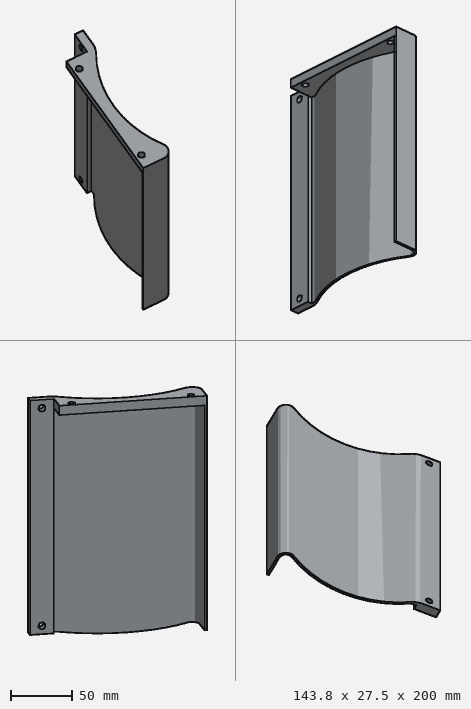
import cadquery as cq
import math

width = 143.8
depth = 27.5
height = 200.0

flange_width = 20.0
flange_thickness = 8.0
plate_thickness = 8.0
skin = 2.0
ledge_skin = 3.8

trough_radius = 102.0
trough_center_x = 77.5
trough_floor_y = 10.8
trough_center_y = trough_floor_y + trough_radius

left_round_outer = 20.0
left_round_inner = 4.5
right_round = 8.0

hole_diameter = 5.5
flange_hole_x = flange_width / 2
flange_hole_margin = 7.2
plate_hole_x = 31.5
plate_hole_spacing = 100.0
plate_hole_y = 5.5


def toward(start, target, distance):
    """Point at the given distance from start along the line to target."""
    length = math.dist(start, target)
    return tuple(s + (t - s) * distance / length for s, t in zip(start, target))


def back_region(offset, flat_y, left_x, left_round_radius):
    """Area in front of the trough moved forward by offset, with a flat at flat_y on its left."""
    right_x = width - offset
    arc_radius = trough_radius + offset
    round_radius = right_round - offset
    arc_center = (trough_center_x, trough_center_y)

    left_y = flat_y - left_round_radius
    left_reach = math.sqrt((arc_radius + left_round_radius) ** 2 - (trough_center_y - left_y) ** 2)
    left_center = (trough_center_x - left_reach, left_y)
    right_center_x = width - right_round
    right_drop = math.sqrt((arc_radius + round_radius) ** 2 - (right_center_x - trough_center_x) ** 2)
    right_center = (right_center_x, trough_center_y - right_drop)

    left_start = (left_center[0], flat_y)
    left_end = toward(left_center, arc_center, left_round_radius)
    left_chord_middle = ((left_start[0] + left_end[0]) / 2, (left_start[1] + left_end[1]) / 2)
    left_middle = toward(left_center, left_chord_middle, left_round_radius)
    right_start = toward(right_center, arc_center, round_radius)
    right_top = (right_center[0], right_center[1] + round_radius)
    right_end = (right_x, right_center[1])

    return (
        cq.Workplane("XY")
        .moveTo(left_x, 0)
        .lineTo(left_x, flat_y)
        .lineTo(*left_start)
        .threePointArc(left_middle, left_end)
        .threePointArc((trough_center_x, trough_center_y - arc_radius), right_start)
        .threePointArc(right_top, right_end)
        .lineTo(right_x, 0)
        .close()
    )


body = back_region(0, depth, 0, left_round_outer).extrude(height)
flange_notch = cq.Workplane("XY").box(flange_width, depth - flange_thickness, height, centered=False)
body = body.cut(flange_notch)

hollow = back_region(skin, depth - ledge_skin, flange_width, left_round_inner).extrude(height - plate_thickness)
body = body.cut(hollow)

flange_holes = (
    cq.Workplane("XZ")
    .pushPoints([(flange_hole_x, z) for z in (flange_hole_margin, height - flange_hole_margin)])
    .circle(hole_diameter / 2)
    .extrude(-depth)
)

plate_holes = (
    cq.Workplane("XY", origin=(0, 0, height))
    .pushPoints([(x, plate_hole_y) for x in (plate_hole_x, plate_hole_x + plate_hole_spacing)])
    .circle(hole_diameter / 2)
    .extrude(-plate_thickness)
)

result = body.cut(flange_holes).cut(plate_holes)